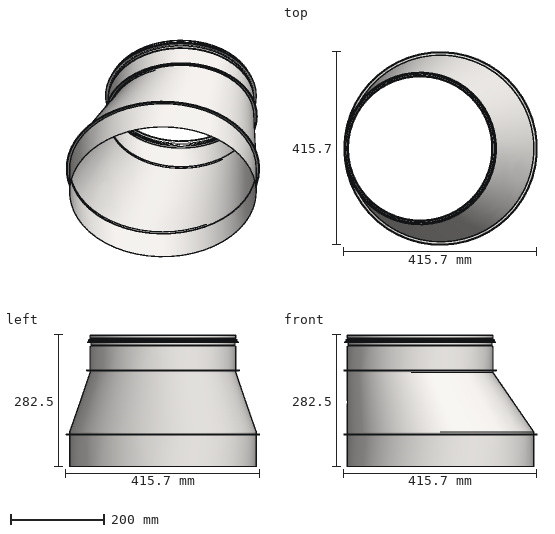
import cadquery as cq
import math

wall = 0.5
total_height = 282.5

large_outer = 401.5 / 2
small_outer = 313.85 / 2
large_inner = large_outer - wall
small_inner = small_outer - wall

small_x = small_outer - large_outer

joint_z = 69.4
upper_joint_z = 207.0
flange_flat = 5.0
bead_offset = 1.0
bead_radius = math.hypot(bead_offset, wall)
large_bend_radius = 1.0
small_bend_radius = 1.5
cone_rim_height = 5.0

neck_outer = 309.05 / 2
neck_inner = neck_outer - wall
shoulder_low = 257.7
shoulder_high = shoulder_low + small_outer - neck_outer
shoulder_angle = 45
shoulder_bend_radius = 1.5

hem_low = 276.1
hem_bend_radius = 1.0
hem_inner_bend_radius = hem_bend_radius - wall
hem_roof = total_height - wall

gasket_low = 261.2
gasket_outer = 310.25 / 2
gasket_band_outer = small_inner
gasket_top = total_height - hem_bend_radius
upper_lip_outer = 319.25 / 2
upper_lip_low = 271.4
upper_lip_edge = 1.2
upper_lip_high = 274.0
lower_lip_outer = 324.25 / 2
lower_lip_low = 266.4
lower_lip_high = 269.0
lower_lip_taper = 0.6


def turn(profile, centre_x):
    """Revolve a radius-height profile about the vertical axis at centre_x."""
    axis_start = (0, 0)
    axis_end = (0, 1)
    ring = profile.close().revolve(360, axis_start, axis_end)
    return ring.rotate((0, 0, 0), (0, 0, 1), 180).translate((centre_x, 0, 0))


def arc_point(centre_r, centre_z, radius, angle):
    """Point on a profile arc at an angle measured in degrees from the outward radial direction."""
    turned = math.radians(angle)
    return (centre_r + radius * math.cos(turned), centre_z + radius * math.sin(turned))


def flange_profile(outer, plane_z, end_z, toward, bead_bend_radius=None):
    """Outline of a flanged pipe end, from the inner edge of its flange to the far end of its outer face.

    toward is +1 when the pipe rises from the flange plane and -1 when it hangs below it.
    With bead_bend_radius the flange bends into the pipe at that radius, and it carries the round bead
    that also closes the edge of the flange it lies on. Without it the flange is flat and sharp-cornered.
    """
    flat_end = outer + flange_flat
    face_z = plane_z + toward * wall
    profile = cq.Workplane("XZ").moveTo(outer - wall, plane_z).lineTo(flat_end, plane_z)
    if bead_bend_radius:
        bend_r = outer + bead_bend_radius
        bend_z = face_z + toward * bead_bend_radius
        bead_tip = (flat_end + bead_offset + bead_radius, plane_z)
        bend_mid = arc_point(bend_r, bend_z, bead_bend_radius, -135 * toward)
        profile = (
            profile.lineTo(flat_end, plane_z - toward * wall)
            .threePointArc(bead_tip, (flat_end, face_z))
            .lineTo(bend_r, face_z)
            .threePointArc(bend_mid, (outer, bend_z))
        )
    else:
        profile = profile.lineTo(flat_end, face_z).lineTo(outer, face_z)
    return profile.lineTo(outer, end_z)


def make_large_collar():
    profile = flange_profile(large_outer, joint_z, 0, -1, large_bend_radius).lineTo(large_inner, 0)
    return turn(profile, 0)


def shoulder_bend(corner_r, corner_z, radius):
    """Start, middle and end of the rounded corner from the pipe to the shoulder above it."""
    centre_z = corner_z - radius * math.tan(math.radians(shoulder_angle / 2))
    return [
        arc_point(corner_r - radius, centre_z, radius, angle)
        for angle in (0, shoulder_angle / 2, shoulder_angle)
    ]


def make_small_collar():
    inner_shift = wall * math.tan(math.radians(shoulder_angle / 2))
    outer_bend = shoulder_bend(small_outer, shoulder_low, shoulder_bend_radius)
    inner_bend = shoulder_bend(small_inner, shoulder_low - inner_shift, shoulder_bend_radius - wall)
    hem_bend_z = total_height - hem_bend_radius
    hem_bend_out = small_outer - hem_bend_radius
    hem_bend_in = neck_inner + hem_bend_radius
    profile = (
        flange_profile(small_outer, upper_joint_z, outer_bend[0][1], 1, small_bend_radius)
        .threePointArc(outer_bend[1], outer_bend[2])
        .lineTo(neck_outer, shoulder_high)
        .lineTo(neck_outer, hem_bend_z)
        .threePointArc(
            arc_point(hem_bend_in, hem_bend_z, hem_inner_bend_radius, 135), (hem_bend_in, hem_roof)
        )
        .lineTo(hem_bend_out, hem_roof)
        .threePointArc(
            arc_point(hem_bend_out, hem_bend_z, hem_inner_bend_radius, 45), (small_inner, hem_bend_z)
        )
        .lineTo(small_inner, hem_low)
        .lineTo(small_outer, hem_low)
        .lineTo(small_outer, hem_bend_z)
        .threePointArc(
            arc_point(hem_bend_out, hem_bend_z, hem_bend_radius, 45), (hem_bend_out, total_height)
        )
        .lineTo(hem_bend_in, total_height)
        .threePointArc(
            arc_point(hem_bend_in, hem_bend_z, hem_bend_radius, 135), (neck_inner, hem_bend_z)
        )
        .lineTo(neck_inner, shoulder_high - inner_shift)
        .lineTo(*inner_bend[2])
        .threePointArc(inner_bend[1], inner_bend[0])
    )
    return turn(profile, small_x)


def make_cone():
    cone_low = joint_z + cone_rim_height
    cone_high = upper_joint_z - cone_rim_height

    def frustum(large, small):
        return (
            cq.Workplane("XY", origin=(0, 0, cone_low))
            .circle(large)
            .workplane(offset=cone_high - cone_low)
            .center(small_x, 0)
            .circle(small)
            .loft(ruled=True)
        )

    lower_profile = flange_profile(large_outer, joint_z, cone_low, 1)
    upper_profile = flange_profile(small_outer, upper_joint_z, cone_high, -1)
    lower_rim = turn(lower_profile.lineTo(large_inner, cone_low), 0)
    upper_rim = turn(upper_profile.lineTo(small_inner, cone_high), small_x)
    shell = frustum(large_outer, small_outer).cut(frustum(large_inner, small_inner))
    return shell.union(lower_rim).union(upper_rim)


def make_gasket():
    profile = (
        cq.Workplane("XZ")
        .moveTo(neck_outer, gasket_low)
        .lineTo(gasket_outer, gasket_low)
        .lineTo(gasket_outer, lower_lip_low)
        .lineTo(lower_lip_outer, lower_lip_low + lower_lip_taper)
        .lineTo(lower_lip_outer, lower_lip_high - lower_lip_taper)
        .lineTo(gasket_band_outer, lower_lip_high)
        .lineTo(gasket_band_outer, upper_lip_low)
        .lineTo(upper_lip_outer, upper_lip_low)
        .lineTo(upper_lip_outer, upper_lip_low + upper_lip_edge)
        .lineTo(gasket_band_outer, upper_lip_high)
        .lineTo(gasket_band_outer, gasket_top)
        .lineTo(neck_outer, gasket_top)
    )
    return turn(profile, small_x)


large_collar = make_large_collar()
cone = make_cone()
small_collar = make_small_collar()
gasket = make_gasket()

result = cq.Compound.makeCompound([large_collar.val(), cone.val(), small_collar.val(), gasket.val()])